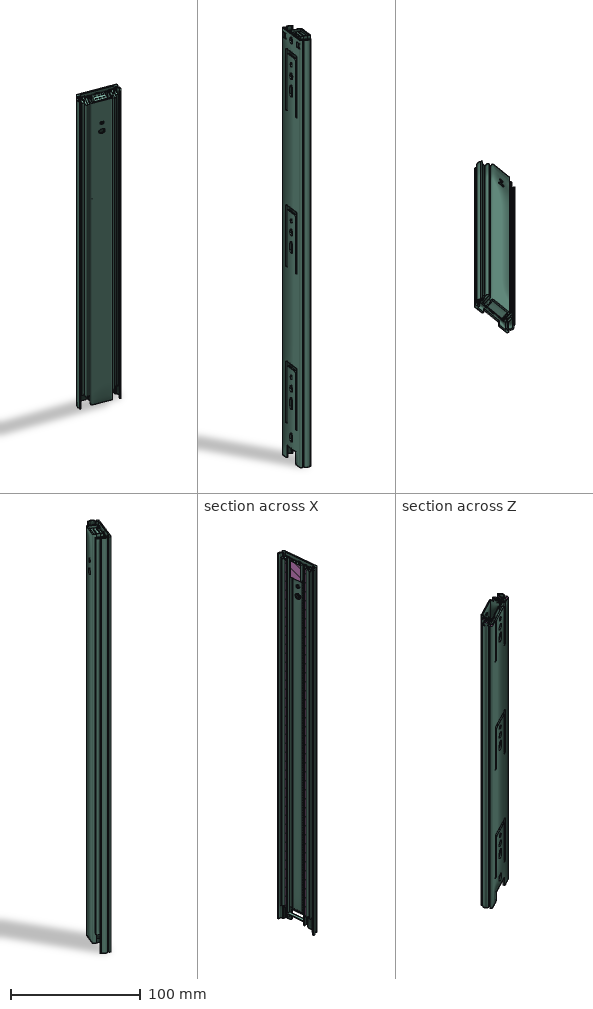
import cadquery as cq
import math


slide_length = 350.0
slide_depth = 12.7
outer_half_width = 17.99

outer_sheet = 1.2
base_half_flat = 15.6
rim_half_width = 16.9
back_bend = rim_half_width - base_half_flat
groove_back_x = 1.9
groove_front_x = 3.15
groove_half_width = 15.0
race_x = 5.7
race_half_span = 2.3
lip_x = 9.2

middle_bottom = 14.0
middle_top_setback = 2.4
middle_top = slide_length - middle_top_setback
middle_sheet = 1.0
middle_back_x = 2.1
middle_front_x = 11.3
middle_half_width = 12.7
middle_bend = 0.9
middle_front_bend = 1.5
web_step = 0.6
step_inner_y = 4.5
step_outer_y = 6.2
middle_wall = 1.7

inner_bottom = 5.3
inner_sheet = 1.2
inner_half_width = 8.9
inner_bend = 1.0
inner_edge_x = 4.0
inner_race_x = 8.0
inner_race_half_span = 1.6
race_depth = 0.7
end_wall_bottom = 8.5
end_wall_thickness = 1.2

cage_bottom = middle_bottom
outer_cage_x = 6.2
outer_cage_depth = 4.0
outer_cage_thickness = 1.8
outer_cage_y = 13.7
inner_cage_x = 7.2
inner_cage_depth = 7.2
inner_cage_thickness = 1.6

bumper_half_width = 5.3
bumper_front_x = 10.8
bumper_top_setback = 1.0
bumper_top = slide_length - bumper_top_setback
bumper_length = 16.0
bumper_pocket = (0.5, 1.6, 6.0)
bumper_pocket_columns = 2
bumper_pocket_rows = 3
bumper_pocket_pitch_x = 2.9
bumper_pocket_pitch_y = 3.1

tongue_offset = 14.7
tongue_pitch = 128.0
tongue_count = 3
tongue_slot_length = 50.7
tongue_slot_half_width = 10.0
tongue_half_width = 7.9
tongue_tip_gap = 3.4
tongue_corner = 1.5
small_hole_from_tongue = 10.5
large_hole_from_tongue = 19.9
oblong_from_tongue = 32.1
small_hole_diameter = 3.3
large_hole_diameter = 5.2
oblong_length = 9.4
end_hole_offset = 5.25
bottom_oblong_z = 19.4
bottom_oblong_length = 7.0

window_inner_y = 10.1
window_outer_y = 14.9
window_height = 4.2
window_offset = 5.2
notch_half_width = 7.9
notch_height = 10.4
notch_corner = 1.0


def mirrored_rail(half_profile, bottom, top):
    """Extrude half a section between two heights and join it to its mirror image."""
    half = half_profile.close().extrude(top - bottom).translate((0, 0, bottom))
    return half.union(half.mirror("XZ"))


def cut_along_x(z, y=0.0):
    """Sketch plane for cuts along +X: local x is Y, local y is Z."""
    return cq.Workplane("YZ").center(y, z)


def arc_middle(x, y, radius):
    """Middle of a quarter bend that starts at (x, y) heading +Y and turns toward +X."""
    return (x + radius * (1 - math.cos(math.pi / 4)), y + radius * math.sin(math.pi / 4))


def round_hole(diameter, z):
    return cut_along_x(z).circle(diameter / 2).extrude(slide_depth)


def oblong_hole(length, z):
    return cut_along_x(z).slot2D(length, large_hole_diameter, 90).extrude(outer_sheet)


def tongue_slot(top):
    """U-shaped slot that frees a tongue attached at its lower end."""
    centre_z = top - tongue_slot_length / 2
    outline = (
        cut_along_x(centre_z)
        .rect(2 * tongue_slot_half_width, tongue_slot_length)
        .extrude(outer_sheet)
        .edges("|X and >Z")
        .fillet(tongue_corner)
    )
    tongue = (
        cut_along_x(centre_z - tongue_tip_gap / 2)
        .rect(2 * tongue_half_width, tongue_slot_length - tongue_tip_gap)
        .extrude(outer_sheet)
        .edges("|X and >Z")
        .fillet(tongue_corner)
    )
    return outline.cut(tongue)


def outer_member():
    half_profile = (
        cq.Workplane("XY")
        .lineTo(0, base_half_flat)
        .threePointArc(arc_middle(0, base_half_flat, back_bend), (back_bend, rim_half_width))
        .lineTo(groove_back_x, rim_half_width)
        .lineTo(groove_back_x, groove_half_width)
        .lineTo(groove_front_x, groove_half_width)
        .lineTo(groove_front_x, rim_half_width - outer_sheet / 4)
        .threePointArc((race_x, outer_half_width), (race_x + race_half_span, rim_half_width))
        .lineTo(lip_x, rim_half_width - outer_sheet / 4)
        .lineTo(lip_x - outer_sheet / 2, rim_half_width - outer_sheet)
        .lineTo(race_x + race_half_span - outer_sheet / 2, rim_half_width - outer_sheet)
        .threePointArc(
            (race_x, outer_half_width - outer_sheet),
            (groove_front_x + outer_sheet / 2, groove_half_width),
        )
        .lineTo(groove_front_x, groove_half_width - outer_sheet)
        .lineTo(outer_sheet, groove_half_width - outer_sheet)
        .lineTo(outer_sheet, 0)
    )
    member = mirrored_rail(half_profile, 0, slide_length)

    for index in range(tongue_count):
        top = slide_length - tongue_offset - index * tongue_pitch
        member = member.cut(tongue_slot(top))
        member = member.cut(round_hole(small_hole_diameter, top - small_hole_from_tongue))
        member = member.cut(round_hole(large_hole_diameter, top - large_hole_from_tongue))
        member = member.cut(oblong_hole(oblong_length, top - oblong_from_tongue))

    end_hole = cut_along_x(slide_length - end_hole_offset).circle(large_hole_diameter / 2)
    member = member.cut(end_hole.extrude(outer_sheet))
    member = member.cut(oblong_hole(bottom_oblong_length, bottom_oblong_z))

    window_y = (window_inner_y + window_outer_y) / 2
    for side in (-1, 1):
        window = cut_along_x(slide_length - window_offset, side * window_y)
        member = member.cut(
            window.rect(window_outer_y - window_inner_y, window_height).extrude(outer_sheet)
        )

    notch = cut_along_x(notch_height / 2).rect(2 * notch_half_width, notch_height)
    member = member.cut(notch.extrude(outer_sheet))
    notch_mouth = (
        cq.Workplane("YZ")
        .moveTo(-notch_half_width - notch_corner, 0)
        .lineTo(notch_half_width + notch_corner, 0)
        .lineTo(notch_half_width, notch_corner)
        .lineTo(-notch_half_width, notch_corner)
        .close()
        .extrude(outer_sheet)
    )
    return member.cut(notch_mouth)


def drill_through_holes(member):
    """Access holes in line with the round holes of the top tongue."""
    tongue_top = slide_length - tongue_offset
    member = member.cut(round_hole(small_hole_diameter, tongue_top - small_hole_from_tongue))
    return member.cut(round_hole(large_hole_diameter, tongue_top - large_hole_from_tongue))


def middle_member():
    strip_x = middle_back_x + web_step
    bend_rise = middle_front_bend * (1 - math.cos(math.pi / 4))
    half_profile = (
        cq.Workplane("XY")
        .moveTo(strip_x, 0)
        .lineTo(strip_x, step_inner_y)
        .lineTo(middle_back_x, step_outer_y)
        .lineTo(middle_back_x, middle_half_width - middle_bend)
        .threePointArc(
            arc_middle(middle_back_x, middle_half_width - middle_bend, middle_bend),
            (middle_back_x + middle_bend, middle_half_width),
        )
        .lineTo(race_x - race_half_span + middle_bend / 2, middle_half_width)
        .threePointArc(
            (race_x, middle_half_width - race_depth),
            (race_x + race_half_span - middle_bend / 2, middle_half_width),
        )
        .lineTo(middle_front_x - middle_front_bend, middle_half_width)
        .threePointArc(
            (middle_front_x - bend_rise, middle_half_width - bend_rise),
            (middle_front_x, middle_half_width - middle_front_bend),
        )
        .lineTo(middle_front_x, middle_half_width - middle_wall)
        .lineTo(middle_back_x + middle_sheet, middle_half_width - middle_wall)
        .lineTo(middle_back_x + middle_sheet, step_outer_y)
        .lineTo(strip_x + middle_sheet, step_inner_y)
        .lineTo(strip_x + middle_sheet, 0)
    )
    return drill_through_holes(mirrored_rail(half_profile, middle_bottom, middle_top))


def inner_member():
    web_x = slide_depth - inner_sheet
    bend_rise = inner_bend * (1 - math.cos(math.pi / 4))
    half_profile = (
        cq.Workplane("XY")
        .moveTo(slide_depth, 0)
        .lineTo(slide_depth, inner_half_width - inner_bend)
        .threePointArc(
            (slide_depth - bend_rise, inner_half_width - bend_rise),
            (slide_depth - inner_bend, inner_half_width),
        )
        .lineTo(inner_race_x + inner_race_half_span, inner_half_width)
        .threePointArc(
            (inner_race_x, inner_half_width - race_depth),
            (inner_race_x - inner_race_half_span, inner_half_width),
        )
        .lineTo(inner_edge_x, inner_half_width)
        .lineTo(inner_edge_x, inner_half_width - inner_sheet)
        .lineTo(web_x, inner_half_width - inner_sheet)
        .lineTo(web_x, 0)
    )
    member = mirrored_rail(half_profile, inner_bottom, slide_length)
    end_wall = cq.Workplane("XY").box(
        web_x - inner_edge_x,
        2 * (inner_half_width - inner_sheet),
        end_wall_thickness,
        centered=(False, True, False),
    )
    member = member.union(end_wall.translate((inner_edge_x, 0, end_wall_bottom)))
    return drill_through_holes(member)


def bumper():
    """Plastic stop block on the middle member's web, with a grid of pockets in its top."""
    back_x = middle_back_x + web_step + middle_sheet
    depth = bumper_front_x - back_x
    block = cq.Workplane("XY").box(
        depth, 2 * bumper_half_width, bumper_length, centered=(False, True, False)
    )
    block = block.translate((back_x, 0, bumper_top - bumper_length))
    pocket_x, pocket_y, pocket_z = bumper_pocket
    pockets = (
        cq.Workplane("XY")
        .rarray(
            bumper_pocket_pitch_x,
            bumper_pocket_pitch_y,
            bumper_pocket_columns,
            bumper_pocket_rows,
        )
        .rect(pocket_x, pocket_y)
        .extrude(-pocket_z)
        .translate((back_x + depth / 2 - pocket_x / 2, 0, bumper_top))
    )
    return block.cut(pockets)


def ball_cage(x, y, depth, thickness):
    """Straight cage strip lying in the gap between two flanges."""
    strip = cq.Workplane("XY").rect(depth, thickness).extrude(middle_top - cage_bottom)
    return strip.translate((x, y, cage_bottom))


inner_cage_y = (middle_half_width - middle_wall + inner_half_width) / 2
cages = []
for side in (-1, 1):
    cages.append(
        ball_cage(outer_cage_x, side * outer_cage_y, outer_cage_depth, outer_cage_thickness)
    )
    cages.append(
        ball_cage(inner_cage_x, side * inner_cage_y, inner_cage_depth, inner_cage_thickness)
    )

result = cq.Compound.makeCompound([
    outer_member().val(),
    middle_member().val(),
    inner_member().val(),
    bumper().val(),
    *[cage.val() for cage in cages],
])